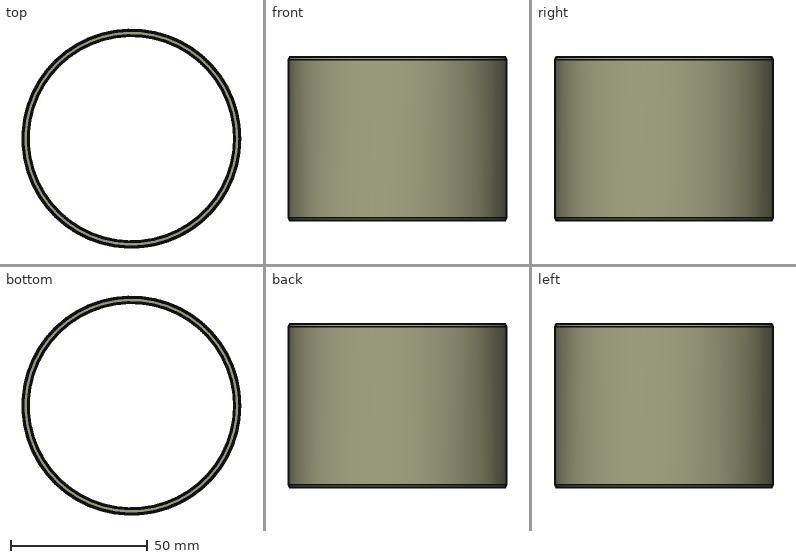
import cadquery as cq

outer_diameter = 80.0
length = 60.0
wall = 2.5

outer_chamfer_axial = 1.0
outer_chamfer_radial = 0.6

bore_chamfer = 0.5

outer_radius = outer_diameter / 2
bore_radius = outer_radius - wall
half_length = length / 2

upper_section = [
    (bore_radius, half_length - bore_chamfer),
    (bore_radius + bore_chamfer, half_length),
    (outer_radius - outer_chamfer_radial, half_length),
    (outer_radius, half_length - outer_chamfer_axial),
]
lower_section = [(radius, -height) for radius, height in reversed(upper_section)]

result = (
    cq.Workplane("XZ")
    .polyline(upper_section + lower_section)
    .close()
    .revolve(360, (0, 0, 0), (0, 1, 0))
)